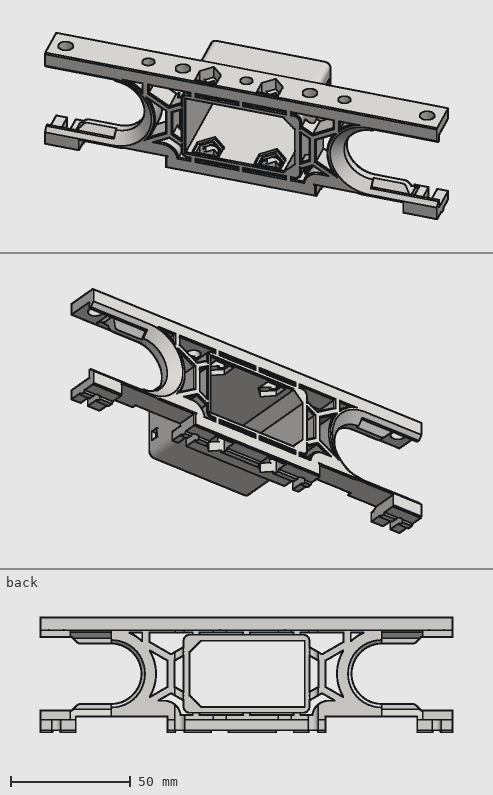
import cadquery as cq
import math

LENGTH = 172.0
HALF_LENGTH = LENGTH / 2
RAIL_DEPTH = 15.3
PLATE_DEPTH = 10.0
HALF_HEIGHT = 23.5
EDGE = 0.5
CUT = 103.2

RAIL_UNDERSIDE = 18.2
FOOT_TOP = -19.1
BRIDGE_EDGE = 17.2
STRIP_EDGE = 17.9
FOOT_INNER_X = 71.2
CENTER_FOOT_HALF = 33.0
LIP_EDGE = 15.3
LIP_DEPTH = 3.1
RIDGE_HEIGHT = 0.9
RIDGE_FRONT = 6.2
RIDGE_BACK = 9.1
RIDGE_SLOPE = 0.5

TUNNEL_X = 56.5
TUNNEL_RADIUS = 12.5
MOUTH_RADIUS = 17.2
RING_OUTER_RADIUS = 18.7
BORE_BACK = 8.5
TAPER_DEPTH = MOUTH_RADIUS - TUNNEL_RADIUS
FINGER_END_X = 73.6
FINGER_SLOPE_X = 70.2
FINGER_ROUND = 2.5
GUSSET_START = 14.8
GUSSET_BACK = 11.0
GUSSET_TOE = 14.1

CASING_HALF_X = 26.3
CASING_HALF_Z = 16.3
CASING_BACK = 40.0
CASING_CORNER = 2.8
CAVITY_LEFT = -24.3
CAVITY_RIGHT = 23.7
CAVITY_HALF_Z = 13.8
CAVITY_BEVEL = 4.8
WINDOW_FRONT = 34.7
WINDOW_BACK = 38.2
WINDOW_HEIGHT = 4.3
WINDOW_Z = 7.0

WEB_WIDTH = 3.1
NODE_X = 31.5
NODE_Z = 6.4
POST_X = 42.0
WEB_ANGLE = math.radians(30)
BRIDGE_POST_X = 21.0
BRIDGE_POST_WIDTH = 3.0
BOSS_X = 34.4
BOSS_Z = -18.2
BOSS_RADIUS = 7.0

END_HOLE_X = 79.3
INNER_HOLE_X = 27.9
HOLE_Y = 7.5
SCREW_HEAD_DIAMETER = 6.2
END_SLOT_WIDTH = 3.8
INNER_SLOT_WIDTH = 4.3
PIN_PITCH = 43.0
PIN_DIAMETER = 5.2
PIN_DEPTH = 4.3
ARROW_CENTERS = (-16.0, 11.2)
ARROW_HALF_WIDTH = 4.6
ARROW_FRONT = 1.5
ARROW_SHOULDER = 8.0
ARROW_TIP = 12.7
ARROW_MARGIN = 1.2
ARROW_RECESS = 1.2


def box(x0, x1, y0, y1, z0, z1):
    """Box between two opposite corners, given in any order along X and Z."""
    low_x = min(x0, x1)
    low_z = min(z0, z1)
    size = (abs(x1 - x0), y1 - y0, abs(z1 - z0))
    return cq.Workplane("XY").box(*size, centered=False).translate((low_x, y0, low_z))


def bevel_front(body):
    """Bevel every edge of the front face."""
    return body.faces("<Y").edges().chamfer(EDGE)


def along_x(points, x0, x1):
    """Prism along X with a (y, z) outline."""
    return cq.Workplane("YZ").polyline(points).close().extrude(x1 - x0).translate((x0, 0, 0))


def web(start, end, width=WEB_WIDTH):
    """Lattice bar between two (x, z) points, with its long front edges bevelled."""
    run = end[0] - start[0]
    rise = end[1] - start[1]
    bar = cq.Workplane("XY").box(math.hypot(run, rise), PLATE_DEPTH, width)
    bar = bar.faces("<Y").edges("|X").chamfer(EDGE)
    bar = bar.rotate((0, 0, 0), (0, 1, 0), -math.degrees(math.atan2(rise, run)))
    return bar.translate(((start[0] + end[0]) / 2, PLATE_DEPTH / 2, (start[1] + end[1]) / 2))


def top_rail():
    rail = box(-HALF_LENGTH, HALF_LENGTH, 0, RAIL_DEPTH, RAIL_UNDERSIDE, HALF_HEIGHT)
    rail = rail.faces("<Y").edges(">Z").chamfer(EDGE)
    bridge = box(-TUNNEL_X, TUNNEL_X, 0, PLATE_DEPTH, BRIDGE_EDGE, RAIL_UNDERSIDE + EDGE)
    return rail.union(bridge.faces("<Y").edges("<Z").chamfer(EDGE))


def ridge(x0, x1):
    """Low rib along the underside of a foot."""
    bottom = -HALF_HEIGHT - RIDGE_HEIGHT
    points = [
        (RIDGE_FRONT, -HALF_HEIGHT),
        (RIDGE_FRONT + RIDGE_SLOPE, bottom),
        (RIDGE_BACK, bottom),
        (RIDGE_BACK, -HALF_HEIGHT),
    ]
    return along_x(points, x0, x1)


def center_foot():
    half = CENTER_FOOT_HALF
    front = bevel_front(box(-half, half, 0, PLATE_DEPTH, -HALF_HEIGHT, -BRIDGE_EDGE))
    back = box(-half, half, PLATE_DEPTH, RAIL_DEPTH, -HALF_HEIGHT, FOOT_TOP)
    return front.union(back).union(ridge(-half, half))


def end_foot():
    foot = box(FOOT_INNER_X, HALF_LENGTH, 0, RAIL_DEPTH, -HALF_HEIGHT, FOOT_TOP)
    return foot.faces("<Y").edges("<Z").chamfer(EDGE).union(ridge(FOOT_INNER_X, HALF_LENGTH))


def lip(side, root):
    """Sloped lip on the upper (+1) or lower (-1) rail, out to the end of the part."""
    points = [
        (0, side * root),
        (0, side * MOUTH_RADIUS),
        (MOUTH_RADIUS - LIP_EDGE, side * LIP_EDGE),
        (LIP_DEPTH, side * LIP_EDGE),
        (LIP_DEPTH, side * root),
    ]
    return along_x(points, TUNNEL_X, HALF_LENGTH)


def tunnel_space():
    """Tapered round mouth running into a straight bore that flares at the back."""
    outline = [
        (0, 0),
        (MOUTH_RADIUS, 0),
        (TUNNEL_RADIUS, TAPER_DEPTH),
        (TUNNEL_RADIUS, BORE_BACK),
        (TUNNEL_RADIUS + PLATE_DEPTH - BORE_BACK, PLATE_DEPTH),
        (0, PLATE_DEPTH),
    ]
    space = cq.Workplane("XY").polyline(outline).close().revolve(360, (0, 0, 0), (0, 1, 0))
    return space.translate((TUNNEL_X, 0, 0))


def ring():
    """Half-round band on the inner side of the tunnel, cut level with the bottom strip."""
    band = cq.Workplane("XZ").circle(RING_OUTER_RADIUS).extrude(-PLATE_DEPTH)
    band = bevel_front(band).translate((TUNNEL_X, 0, 0))
    reach = RING_OUTER_RADIUS
    return band.intersect(box(TUNNEL_X - reach, TUNNEL_X, 0, PLATE_DEPTH, -STRIP_EDGE, reach))


def finger(side, root):
    """Straight extension of the tunnel wall with a rounded and sloped tip."""
    slope_back = LIP_DEPTH + LIP_EDGE - TUNNEL_RADIUS
    points = [
        (LIP_DEPTH, side * root),
        (LIP_DEPTH, side * LIP_EDGE),
        (slope_back, side * TUNNEL_RADIUS),
        (BORE_BACK, side * TUNNEL_RADIUS),
        (BORE_BACK, side * GUSSET_START),
        (GUSSET_BACK, side * (GUSSET_START + GUSSET_BACK - BORE_BACK)),
        (GUSSET_TOE, side * root),
    ]
    body = along_x(points, TUNNEL_X, FINGER_END_X)
    tip = (
        cq.Workplane("XZ")
        .moveTo(TUNNEL_X, TUNNEL_RADIUS)
        .lineTo(FINGER_SLOPE_X, TUNNEL_RADIUS)
        .lineTo(FINGER_END_X, TUNNEL_RADIUS + FINGER_END_X - FINGER_SLOPE_X)
        .lineTo(FINGER_END_X, root)
        .lineTo(TUNNEL_X, root)
        .close()
        .extrude(-RAIL_DEPTH)
    )
    slope_start = (FINGER_SLOPE_X, RAIL_DEPTH / 2, TUNNEL_RADIUS)
    tip = tip.edges(cq.selectors.NearestToPointSelector(slope_start)).fillet(FINGER_ROUND)
    if side < 0:
        tip = tip.mirror("XY")
    return body.intersect(tip)


def lattice():
    """Right-hand half of the honeycomb webs and the solid web beside the center foot."""
    slope = math.tan(WEB_ANGLE)
    casing_x = CASING_HALF_X - EDGE
    body = web((NODE_X, -NODE_Z), (NODE_X, NODE_Z))
    post_foot = NODE_Z + (POST_X - NODE_X) * slope - WEB_WIDTH / 2
    body = body.union(web((POST_X, post_foot), (POST_X, RAIL_UNDERSIDE)))
    for side in (1, -1):
        for end_x in (POST_X, casing_x):
            rise = abs(end_x - NODE_X) * slope
            body = body.union(web((NODE_X, side * NODE_Z), (end_x, side * (NODE_Z + rise))))
    top = BOSS_Z + BOSS_RADIUS
    arc_middle = BOSS_RADIUS * math.sqrt(0.5)
    shoulder = (
        cq.Workplane("XZ")
        .moveTo(BOSS_X, top)
        .threePointArc(
            (BOSS_X - arc_middle, BOSS_Z + arc_middle),
            (BOSS_X - BOSS_RADIUS, BOSS_Z),
        )
        .lineTo(BOSS_X - BOSS_RADIUS, FOOT_TOP)
        .lineTo(CENTER_FOOT_HALF - EDGE, FOOT_TOP)
        .lineTo(CENTER_FOOT_HALF - EDGE, -STRIP_EDGE)
        .lineTo(TUNNEL_X, -STRIP_EDGE)
        .lineTo(TUNNEL_X, top)
        .close()
        .extrude(-PLATE_DEPTH)
    )
    return body.union(bevel_front(shoulder))


def screw_slot(x, width, z0, z1):
    """Slot with a round front end, open toward the back."""
    round_end = cq.Workplane("XY").center(x, HOLE_Y).circle(width / 2).extrude(z1 - z0)
    channel = box(x - width / 2, x + width / 2, HOLE_Y, RAIL_DEPTH, z0, z1)
    return round_end.translate((0, 0, z0)).union(channel)


def casing():
    half_x = CASING_HALF_X
    half_z = CASING_HALF_Z
    shell = box(-half_x, half_x, 0, CASING_BACK, -half_z, half_z).edges("|Y").fillet(CASING_CORNER)
    return bevel_front(shell)


def casing_cavity():
    """Open cavity with two large bevels on +X and a bevelled mouth on the other three sides."""
    width = CAVITY_RIGHT - CAVITY_LEFT
    half_z = CAVITY_HALF_Z
    cavity = box(CAVITY_LEFT, CAVITY_RIGHT, 0, CASING_BACK, -half_z, half_z)
    cavity = cavity.edges("|Y and >X").chamfer(CAVITY_BEVEL)
    mouth = cq.Workplane("XZ", origin=(CAVITY_LEFT + width / 2, 0, 0))
    mouth = mouth.rect(width + 2 * EDGE, 2 * (half_z + EDGE))
    mouth = mouth.workplane(offset=-EDGE).rect(width, 2 * half_z).loft(combine=True)
    plain_side = box(-CUT, CAVITY_RIGHT - CAVITY_BEVEL, 0, EDGE, -CUT, CUT)
    return cavity.union(mouth.intersect(plain_side))


def casing_windows():
    windows = cq.Workplane("XY")
    for side in (1, -1):
        low = side * WINDOW_Z - WINDOW_HEIGHT / 2
        windows = windows.add(box(-CUT, CUT, WINDOW_FRONT, WINDOW_BACK, low, low + WINDOW_HEIGHT))
    return windows.combine()


def arrow_outline(x):
    """House shape pointing to the back."""
    points = [
        (x - ARROW_HALF_WIDTH, ARROW_FRONT),
        (x + ARROW_HALF_WIDTH, ARROW_FRONT),
        (x + ARROW_HALF_WIDTH, ARROW_SHOULDER),
        (x, ARROW_TIP),
        (x - ARROW_HALF_WIDTH, ARROW_SHOULDER),
    ]
    return cq.Workplane("XY").polyline(points).close()


def arrow_window(x):
    """Opening through the whole height, with a wider recess in the casing floor."""
    opening = arrow_outline(x).extrude(CUT, both=True)
    recess = arrow_outline(x).offset2D(ARROW_MARGIN, "intersection").extrude(ARROW_RECESS)
    recess = recess.translate((0, 0, -CAVITY_HALF_Z - ARROW_RECESS))
    behind_frame = box(-CUT, CUT, ARROW_FRONT, CUT, -CUT, CUT)
    return opening.union(recess.intersect(behind_frame))


def vertical_holes(centers, diameter, depth):
    """Holes drilled down from the top face."""
    points = [(x, HOLE_Y) for x in centers]
    holes = cq.Workplane("XY", origin=(0, 0, HALF_HEIGHT)).pushPoints(points)
    return holes.circle(diameter / 2).extrude(-depth)


half = ring().union(lattice()).union(end_foot())
half = half.union(lip(1, RAIL_UNDERSIDE)).union(finger(1, RAIL_UNDERSIDE))
below_strip = box(TUNNEL_X, FOOT_INNER_X, 0, RAIL_DEPTH, FOOT_TOP, -STRIP_EDGE)
half = half.union(lip(-1, -FOOT_TOP).union(finger(-1, -FOOT_TOP)).cut(below_strip))
half = half.cut(tunnel_space())
half = half.cut(screw_slot(END_HOLE_X, END_SLOT_WIDTH, -CUT, 0))
half = half.cut(screw_slot(INNER_HOLE_X, INNER_SLOT_WIDTH, -CUT, BRIDGE_EDGE))

rails = top_rail().union(center_foot())
for mirror_side in (1, -1):
    rails = rails.cut(tunnel_space().translate(((mirror_side - 1) * TUNNEL_X, 0, 0)))
    slot_x = mirror_side * INNER_HOLE_X
    rails = rails.cut(screw_slot(slot_x, INNER_SLOT_WIDTH, -CUT, 0))

body = rails.union(half).union(half.mirror("YZ")).union(casing())
for post_x in (-BRIDGE_POST_X, 0, BRIDGE_POST_X):
    for post_side in (1, -1):
        post_ends = (post_side * (CASING_HALF_Z - EDGE), post_side * (BRIDGE_EDGE + EDGE))
        body = body.union(web((post_x, post_ends[0]), (post_x, post_ends[1]), BRIDGE_POST_WIDTH))

body = body.cut(casing_cavity()).cut(casing_windows())
for arrow_x in ARROW_CENTERS:
    body = body.cut(arrow_window(arrow_x))
screw_centers = (-END_HOLE_X, -INNER_HOLE_X, INNER_HOLE_X, END_HOLE_X)
body = body.cut(vertical_holes(screw_centers, SCREW_HEAD_DIAMETER, HALF_HEIGHT - BRIDGE_EDGE))
result = body.cut(vertical_holes((-PIN_PITCH, 0, PIN_PITCH), PIN_DIAMETER, PIN_DEPTH))